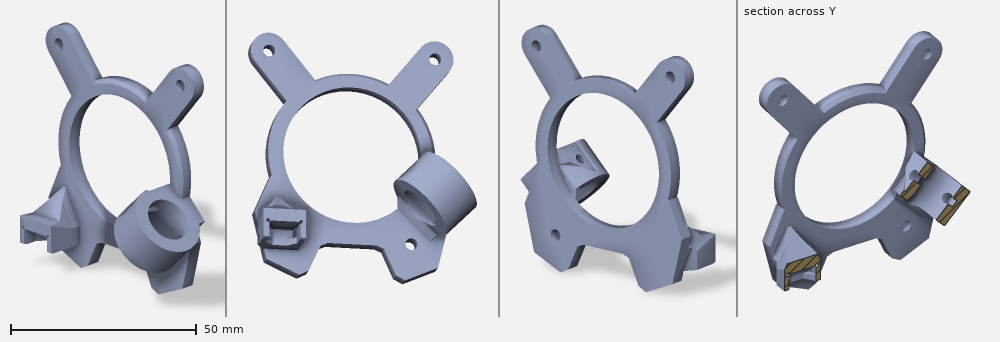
import cadquery as cq
import math


plate_thickness = 4.0
ring_bore_radius = 37.8 / 2
ring_radius = 23.0
ring_chamfer = 1.0
mark_width = 0.5
mark_depth = 0.15
arm_hole_x = 22.75
arm_hole_z = 28.0
arm_end_radius = 5.0
screw_hole_diameter = 3.25
foot_hole_x = 16.2
foot_hole_z = -24.0
bottom_z = -34.22
shoulder = (22.3, -6.9)
elbow = (26.7, -17.0)
heel = (23.5, -30.2)
toe_x = 14.5
toe_inner = (11.95, -32.9)
arch_side = (8.66, -25.7)
arch_top = (6.65, -24.9)

tube_angle = 45.0
tube_radius = 10.0
tube_bore_diameter = 12.3
tube_across = 23.42
tube_front_y = -17.48
tube_y = tube_front_y + tube_radius
tube_start = 0.86
tube_end = 12.44
set_screw_diameter = 3.0
set_screw_along = 7.36
set_screw_y = -5.6
set_screw_end = 31.4
flat_across = 14.06
flat_front_y = -8.05
flat_start = 2.5
flat_wall_slant = 0.4
block_heel_along = 8.9
block_knee_y = -6.8
relief_depth = 8.2
gusset_height = 2.0
gusset_foot = -1.2
gusset_far_across = 31.4
gusset_foot_across = 18.8
gusset_top_across = 16.6
base_far_across = 27.5
base_back_gap = 0.1

clip_center_x = -20.66
clip_width = 11.62
clip_top_z = -19.2
clip_bottom_z = -27.37
clip_front_y = -11.2
clip_chamfer_depth = 1.1
clip_chamfer_height = 0.35
ridge_z = -12.4
ridge_half_width = 0.5
ridge_front_y = -7.0
ridge_front_half_width = 5.0
root_depth = 2.8
root_spread = 0.55
root_left_half_width = 5.11
root_left_depth = 2.4
side_cut_depth = 2.9
side_cut_width = 2.3
slot_half_width = 4.25
slot_top_z = -22.65
slot_pad_y = -3.9
slot_pad_half_width = 3.55
slot_pad_top_z = -23.2
slot_pad_chamfer = 0.7
lug_top_z = -25.6
lug_front_y = -6.7
lug_half_gap = 2.0
slot_relief_radius = 0.5
slot_relief_z = -22.55
slot_relief_half_spacing = 4.55

margin = 5.0


def plate_prism(points):
    """Extrude an X-Z outline over the plate thickness."""
    return cq.Workplane("XZ").polyline(points).close().extrude(-plate_thickness)


def plate_disc(x, z, radius):
    return cq.Workplane("XZ").center(x, z).circle(radius).extrude(-plate_thickness)


def arm(side):
    """Radial arm with a round end, on the given side of the Z axis."""
    reach = math.hypot(arm_hole_x, arm_hole_z)
    angle = math.degrees(math.atan2(arm_hole_z, side * arm_hole_x))
    bar = cq.Workplane("XZ").rect(reach, 2 * arm_end_radius).extrude(-plate_thickness)
    bar = bar.translate((reach / 2, 0, 0)).rotate((0, 0, 0), (0, 1, 0), -angle)
    return bar.union(plate_disc(side * arm_hole_x, arm_hole_z, arm_end_radius))


def ring():
    """Ring with a chamfered front rim, left plain below the left arm."""
    plain = plate_disc(0, 0, ring_radius)
    chamfered = plain.faces("<Y").chamfer(ring_chamfer)
    mark = cq.Workplane("XY").box(mark_width, 2 * plate_thickness + margin, 2 * mark_depth)
    chamfered = chamfered.cut(mark.translate((0, 0, ring_radius)))
    left_side = cq.Workplane("XY").box(ring_radius, 2 * plate_thickness, 2 * ring_radius)
    left_side = left_side.translate((-ring_radius, 0, shoulder[1]))
    return chamfered.union(plain.intersect(left_side))


def feet():
    """Lower part of the plate, mirrored about the Z axis."""
    right = [
        shoulder,
        elbow,
        heel,
        (toe_x, bottom_z),
        toe_inner,
        arch_side,
        arch_top,
    ]
    left = [(-x, z) for x, z in reversed(right)]
    return plate_prism(right + left)


def to_tube_frame(body):
    """Turn a body built with X along and -Z across into its place on the plate."""
    return body.rotate((0, 0, 0), (0, 1, 0), -tube_angle)


def across_prism(points, start, end):
    """Extrude an (along, y) outline between two across positions."""
    body = cq.Workplane("XY").polyline(points).close().extrude(start - end)
    return body.translate((0, 0, -start))


def along_cylinder(radius, start, end):
    body = cq.Workplane("YZ").center(tube_y, -tube_across).circle(radius)
    return body.extrude(end - start).translate((start, 0, 0))


def tube_base():
    """Fill of the plate under the tube, flush with the upper tube end."""
    length = tube_end - tube_start
    width = base_far_across - gusset_foot_across
    depth = plate_thickness - base_back_gap
    base = cq.Workplane("XY").box(length, depth, width, centered=False)
    return to_tube_frame(base.translate((tube_start, 0, -base_far_across)))


def flat_block():
    """Block that carries the set-screw flat, relieved by a cone over the ring bore."""
    outline = [
        (tube_end, 0),
        (block_heel_along, 0),
        (flat_start, block_knee_y),
        (flat_start, flat_front_y),
        (tube_end, flat_front_y),
    ]
    block = across_prism(outline, flat_across, tube_across)
    cone = cq.Workplane("XY").polyline([(0, 0), (ring_bore_radius, 0), (0, -relief_depth)]).close()
    return block.cut(cone.revolve(360, (0, 0, 0), (0, 1, 0)))


def flat_pocket():
    """Pocket that brings the tube wall back to the flat, with a slanted front wall."""
    wall = flat_across - (tube_across - tube_radius)

    def outline(front_y):
        return [
            (tube_end + margin, margin),
            (block_heel_along, 0),
            (flat_start, block_knee_y),
            (flat_start, front_y),
            (tube_end + margin, front_y),
        ]

    pocket = cq.Workplane("XY").polyline(outline(flat_front_y)).close().workplane(offset=wall)
    pocket = pocket.polyline(outline(flat_front_y - flat_wall_slant)).close().loft(ruled=True)
    return pocket.translate((0, 0, -flat_across))


def gusset():
    """Sloped foot between the plate and the lower tube end."""
    outline = [
        (gusset_foot, 0),
        (tube_start, -gusset_height),
        (tube_end, -gusset_height),
        (tube_end, 0),
    ]
    body = across_prism(outline, gusset_top_across, gusset_far_across)
    plan = [
        (gusset_foot, -gusset_foot_across),
        (tube_start, -gusset_top_across),
        (tube_end / 2, -gusset_foot_across),
        (tube_end / 2, -base_far_across),
        (tube_start, -gusset_far_across),
        (gusset_foot, -gusset_far_across),
    ]
    footprint = cq.Workplane("XZ").polyline(plan).close().extrude(gusset_height)
    return body.intersect(footprint)


def tube_holder():
    body = along_cylinder(tube_radius, tube_start, tube_end)
    body = body.cut(flat_pocket()).union(flat_block()).union(gusset())
    body = body.cut(along_cylinder(tube_bore_diameter / 2, gusset_foot - margin, tube_end + margin))
    screw = cq.Workplane("XY").center(set_screw_along, set_screw_y).circle(set_screw_diameter / 2)
    body = body.cut(screw.extrude(-set_screw_end))
    return to_tube_frame(body)


def root_half_width(z):
    """Half width of the clip ridge where it leaves the plate."""
    return ridge_half_width + root_spread * (ridge_z - z)


def clip_front_side_cut(side):
    """Space outside the sloped side of the ridge, in front of its root."""
    root_z = ridge_z + (clip_top_z - ridge_z) * root_depth / -ridge_front_y
    root = cq.Vector(side * root_half_width(root_z), -root_depth, root_z)
    middle = cq.Vector(side * ridge_front_half_width, ridge_front_y, clip_top_z)
    front = cq.Vector(side * clip_width / 2, clip_front_y, clip_top_z)
    normal = (middle - root).cross(front - root) * -side
    size = 4 * clip_width
    plane = cq.Plane(origin=middle.toTuple(), normal=normal.toTuple())
    outside = cq.Workplane(plane).rect(size, size).extrude(size)
    in_front = cq.Workplane("XY").box(size, size, size).translate((0, -root_depth - size / 2, 0))
    return outside.intersect(in_front)


def clip_root_side_cut(side):
    """Space beside the root of the ridge, next to the plate."""
    outline = [
        (side * ridge_half_width, ridge_z),
        (side * root_half_width(clip_bottom_z), clip_bottom_z),
        (side * root_half_width(clip_bottom_z), ridge_z),
    ]
    return cq.Workplane("XZ").polyline(outline).close().extrude(root_depth)


def clip_left_cut():
    """Slanted cut that leads the left wall of the clip back to the plate edge."""
    left = -clip_width / 2
    wedge = [(left, -side_cut_depth), (left, 0), (left + side_cut_width, 0)]
    return cq.Workplane("XY").polyline(wedge).close().extrude(2 * clip_bottom_z)


def foot_edge_half_width(z):
    """Distance from the middle of the clip to the outer edge of the foot."""
    edge_slope = (heel[0] - elbow[0]) / (heel[1] - elbow[1])
    return elbow[0] + edge_slope * (z - elbow[1]) + clip_center_x


def clip_left_root():
    """Part of the clip root outside the slanted cut, flush with the edge of the foot."""
    low_z = ridge_z - (root_left_half_width - ridge_half_width) / root_spread
    outline = [
        (0, ridge_z),
        (-ridge_half_width, ridge_z),
        (-root_left_half_width, low_z),
        (-foot_edge_half_width(clip_bottom_z), clip_bottom_z),
        (0, clip_bottom_z),
    ]
    return cq.Workplane("XZ").polyline(outline).close().extrude(root_left_depth)


def slot_pad():
    """Raised pad on the back wall of the slot, chamfered at its top and sides."""
    floor_z = clip_bottom_z - margin

    def outline(half_width, top_z, y):
        points = [(-half_width, floor_z), (-half_width, top_z), (half_width, top_z), (half_width, floor_z)]
        return cq.Wire.makePolygon([cq.Vector(x, y, z) for x, z in points], close=True)

    face = outline(slot_pad_half_width, slot_pad_top_z, slot_pad_y)
    foot = outline(slot_half_width, slot_top_z, slot_pad_y + slot_pad_chamfer)
    return cq.Workplane(cq.Solid.makeLoft([face, foot], True))


def slot_lug(side):
    """Wedge in a lower back corner of the slot."""
    back_y = slot_pad_y + slot_pad_chamfer
    plan = [
        (side * slot_half_width, lug_front_y),
        (side * lug_half_gap, slot_pad_y),
        (side * lug_half_gap, back_y),
        (side * slot_half_width, back_y),
    ]
    lug = cq.Workplane("XY").polyline(plan).close().extrude(clip_bottom_z - margin - lug_top_z)
    return lug.translate((0, 0, lug_top_z))


def clip_slot():
    """Slot open to the front and below, with round reliefs in its upper corners."""
    depth = slot_pad_y + slot_pad_chamfer - clip_front_y
    height = slot_top_z - clip_bottom_z + margin
    slot = cq.Workplane("XY").box(2 * slot_half_width, depth, height, centered=(True, False, False))
    slot = slot.translate((0, clip_front_y, slot_top_z - height))
    slot = slot.cut(slot_pad())
    for side in (-1, 1):
        relief = cq.Workplane("XZ", origin=(0, clip_front_y, 0))
        relief = relief.center(side * slot_relief_half_spacing, slot_relief_z)
        slot = slot.cut(slot_lug(side)).union(relief.circle(slot_relief_radius).extrude(-depth))
    return slot


def clip():
    profile = [
        (0, ridge_z),
        (ridge_front_y, clip_top_z),
        (clip_front_y, clip_top_z),
        (clip_front_y, clip_bottom_z + clip_chamfer_height),
        (clip_front_y + clip_chamfer_depth, clip_bottom_z),
        (0, clip_bottom_z),
    ]
    block = cq.Workplane("YZ").polyline(profile).close().extrude(clip_width / 2, both=True)
    body = block
    for side in (-1, 1):
        body = body.cut(clip_front_side_cut(side)).cut(clip_root_side_cut(side))
    body = body.cut(clip_left_cut()).union(block.intersect(clip_left_root()))
    body = body.cut(clip_slot())
    return body.translate((clip_center_x, 0, 0))


plate = ring().union(feet()).union(arm(-1)).union(arm(1)).union(tube_base())
result = plate.union(tube_holder())
result = result.cut(plate_disc(0, 0, ring_bore_radius))
for hole_x, hole_z in (
    (-arm_hole_x, arm_hole_z),
    (arm_hole_x, arm_hole_z),
    (foot_hole_x, foot_hole_z),
):
    result = result.cut(plate_disc(hole_x, hole_z, screw_hole_diameter / 2))
result = result.union(clip())